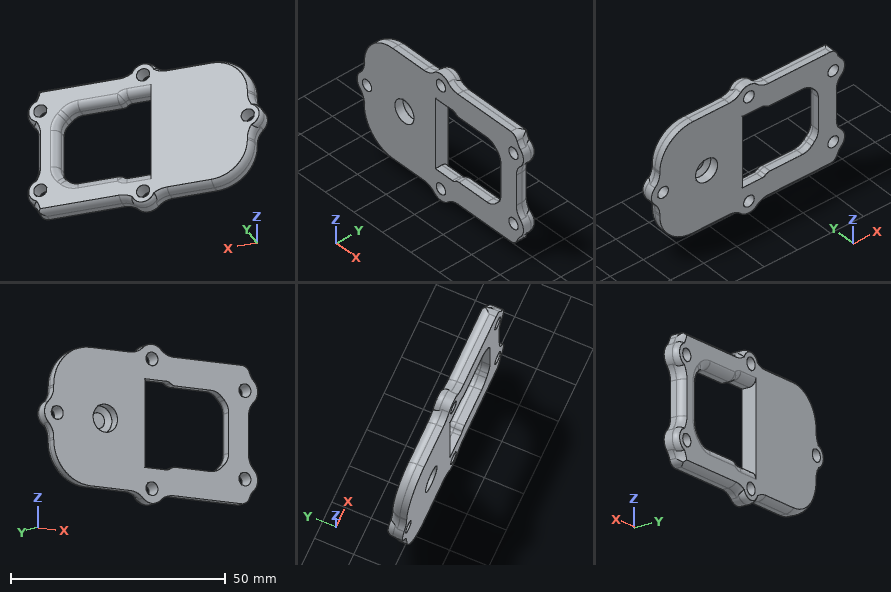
import cadquery as cq
import math

LENGTH = 58.35
HEIGHT = 37.8
THICKNESS = 4.0

BODY_INSET = 2.5
BODY_HALF_HEIGHT = 16.45
NOSE_RADIUS = 10.0
TAIL_RADIUS = 2.3

TAB_RADIUS = 3.5
TAB_BLEND_RADIUS = 4.9
SCREW_HOLE_DIAMETER = 3.2
SIDE_TAB_X = 29.4
TAIL_TAB_Z = 10.5

BODY_WALL = 1.75
BODY_ROUNDING = 3.0
ROUNDING_TOP = BODY_WALL + BODY_ROUNDING
TAB_WALL = 2.4
TAB_ROUNDING = ROUNDING_TOP - TAB_WALL

WINDOW_LEFT = 27.5
WINDOW_RIGHT = 50.4
WINDOW_WIDE_HALF = 10.5
WINDOW_NARROW_HALF = 9.65
WINDOW_STEP_X = 33.45
WINDOW_STEP_RADIUS = 1.5
WINDOW_STEP_BULGE = 2.05
WINDOW_CHAMFER = 3.15
WINDOW_CORNER_RADIUS = 3.95
WINDOW_ROUNDING = 2.0

BLIND_X = 16.65
BLIND_RADIUS = 3.3
BLIND_FLOOR_RADIUS = 1.85
BLIND_STRAIGHT_DEPTH = 2.5
BLIND_DEPTH = 3.4

TOLERANCE = 0.05
BODY_RIGHT = LENGTH - BODY_INSET
SIDE_TAB_Z = HEIGHT / 2 - TAB_RADIUS
TAIL_TAB_X = LENGTH - TAB_RADIUS
UPPER_TABS = [(TAB_RADIUS, 0), (SIDE_TAB_X, SIDE_TAB_Z), (TAIL_TAB_X, TAIL_TAB_Z)]


def front_plane():
    """Sketch plane on the front face; a negative extrusion goes to +Y."""
    return cq.Workplane("XZ")


def blend_offsets(tab_setback):
    """Tangent points of a tab's blend arc, measured from the tab centre.

    tab_setback is how far the centre lies inside the body edge. Returns the distance along
    that edge to the end of the arc, then the along and outward distances to the tab circle.
    """
    reach = TAB_RADIUS + TAB_BLEND_RADIUS
    rise = TAB_BLEND_RADIUS + tab_setback
    run = math.sqrt(reach**2 - rise**2)
    share = TAB_RADIUS / reach
    return run, run * share, rise * share


def upper_outline(depth):
    """Upper half of the plate, going clockwise from the nose tip; the tail corner stays sharp."""
    end_run, end_along, end_out = blend_offsets(TAB_RADIUS - BODY_INSET)
    side_run, side_along, side_out = blend_offsets(BODY_HALF_HEIGHT - SIDE_TAB_Z)

    arc_center_z = TAIL_TAB_Z + end_run
    corner_x = BODY_RIGHT + TAB_BLEND_RADIUS - math.sqrt(
        TAB_BLEND_RADIUS**2 - (arc_center_z - BODY_HALF_HEIGHT) ** 2
    )
    return (
        front_plane()
        .moveTo(0, 0)
        .radiusArc((TAB_RADIUS - end_out, end_along), TAB_RADIUS)
        .radiusArc((BODY_INSET, end_run), -TAB_BLEND_RADIUS)
        .lineTo(BODY_INSET, BODY_HALF_HEIGHT - NOSE_RADIUS)
        .radiusArc((BODY_INSET + NOSE_RADIUS, BODY_HALF_HEIGHT), NOSE_RADIUS)
        .lineTo(SIDE_TAB_X - side_run, BODY_HALF_HEIGHT)
        .radiusArc((SIDE_TAB_X - side_along, SIDE_TAB_Z + side_out), -TAB_BLEND_RADIUS)
        .radiusArc((SIDE_TAB_X + side_along, SIDE_TAB_Z + side_out), TAB_RADIUS)
        .radiusArc((SIDE_TAB_X + side_run, BODY_HALF_HEIGHT), -TAB_BLEND_RADIUS)
        .lineTo(corner_x, BODY_HALF_HEIGHT)
        .radiusArc((TAIL_TAB_X + end_out, TAIL_TAB_Z + end_along), -TAB_BLEND_RADIUS)
        .radiusArc((TAIL_TAB_X + end_out, TAIL_TAB_Z - end_along), TAB_RADIUS)
        .radiusArc((BODY_RIGHT, TAIL_TAB_Z - end_run), -TAB_BLEND_RADIUS)
        .lineTo(BODY_RIGHT, 0)
        .close()
        .extrude(-depth)
    )


def upper_plate():
    """Upper half with rounded back edges; the tabs keep a higher rim than the body."""
    rim = cq.selectors.BoxSelector((-0.6, 0, TOLERANCE), (LENGTH + 0.6, THICKNESS * 2, HEIGHT))
    body = upper_outline(ROUNDING_TOP).faces(">Y").edges(rim).fillet(BODY_ROUNDING)
    tabs = (
        front_plane().pushPoints(UPPER_TABS).circle(TAB_RADIUS).extrude(-ROUNDING_TOP)
        .faces(">Y").edges().fillet(TAB_ROUNDING)
    )
    tail_corner = cq.selectors.NearestToPointSelector((BODY_RIGHT, THICKNESS / 2, BODY_HALF_HEIGHT))
    envelope = upper_outline(THICKNESS).edges("|Y").edges(tail_corner).fillet(TAIL_RADIUS)
    return body.union(tabs).intersect(envelope)


def upper_window():
    """Upper half of the window cutter."""
    step_height = WINDOW_WIDE_HALF - WINDOW_NARROW_HALF
    step_turn = math.acos(1 - step_height / (WINDOW_STEP_RADIUS + WINDOW_STEP_BULGE))
    step_middle_x = WINDOW_STEP_X + WINDOW_STEP_RADIUS * math.sin(step_turn)
    step_middle_z = WINDOW_WIDE_HALF - WINDOW_STEP_RADIUS * (1 - math.cos(step_turn))
    step_end_x = step_middle_x + WINDOW_STEP_BULGE * math.sin(step_turn)

    tangent = WINDOW_CORNER_RADIUS * math.tan(math.radians(22.5))
    diagonal = tangent * math.sqrt(0.5)
    chamfer_x = WINDOW_RIGHT - WINDOW_CHAMFER
    chamfer_z = WINDOW_NARROW_HALF - WINDOW_CHAMFER
    return (
        front_plane()
        .moveTo(WINDOW_LEFT, 0)
        .lineTo(WINDOW_LEFT, WINDOW_WIDE_HALF)
        .lineTo(WINDOW_STEP_X, WINDOW_WIDE_HALF)
        .radiusArc((step_middle_x, step_middle_z), WINDOW_STEP_RADIUS)
        .radiusArc((step_end_x, WINDOW_NARROW_HALF), -WINDOW_STEP_BULGE)
        .lineTo(chamfer_x - tangent, WINDOW_NARROW_HALF)
        .radiusArc((chamfer_x + diagonal, WINDOW_NARROW_HALF - diagonal), WINDOW_CORNER_RADIUS)
        .lineTo(WINDOW_RIGHT - diagonal, chamfer_z + diagonal)
        .radiusArc((WINDOW_RIGHT, chamfer_z - tangent), WINDOW_CORNER_RADIUS)
        .lineTo(WINDOW_RIGHT, 0)
        .close()
        .extrude(-THICKNESS)
    )


def upper_half():
    """Upper half of the plate with its window; the window's straight -X wall is not rounded."""
    rim = cq.selectors.BoxSelector(
        (WINDOW_LEFT + 0.6, 0, 0.6),
        (WINDOW_RIGHT + 0.6, THICKNESS + 0.6, WINDOW_WIDE_HALF + 0.6),
    )
    return upper_plate().cut(upper_window()).faces(">Y").edges(rim).fillet(WINDOW_ROUNDING)


def screw_holes():
    return front_plane().pushPoints(UPPER_TABS).circle(SCREW_HOLE_DIAMETER / 2).extrude(-THICKNESS)


def blind_hole():
    return (
        cq.Workplane("XY")
        .polyline([
            (0, 0),
            (BLIND_RADIUS, 0),
            (BLIND_RADIUS, BLIND_STRAIGHT_DEPTH),
            (BLIND_FLOOR_RADIUS, BLIND_DEPTH),
            (0, BLIND_DEPTH),
        ])
        .close()
        .revolve(360, (0, 0), (0, 1))
        .translate((BLIND_X, 0, 0))
    )


half = upper_half()
plate = half.union(half.mirror("XY"))
holes = screw_holes()
result = plate.cut(holes).cut(holes.mirror("XY")).cut(blind_hole())